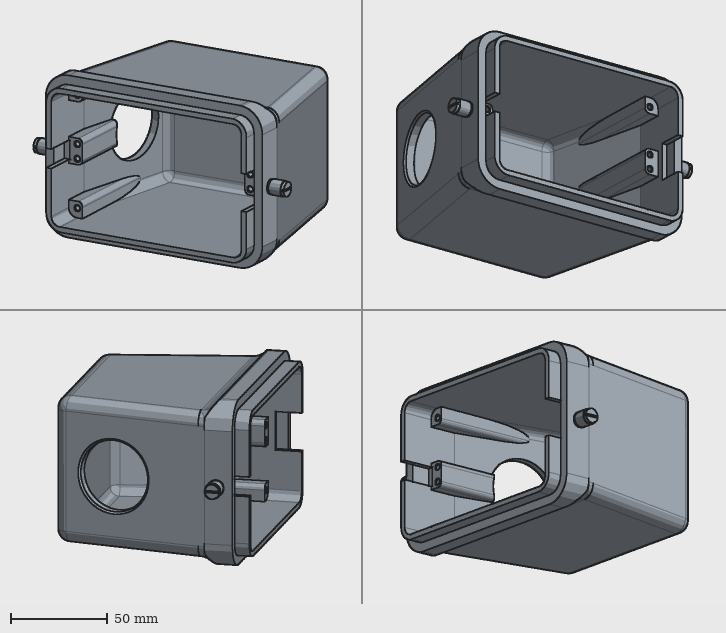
import cadquery as cq
import math


collar_width = 130.5
collar_height = 88.5
collar_corner_radius = 13.7
collar_straight_depth = 8.9
collar_crown_radius = 1.8
collar_root_radius = 9.8

body_height = 78.4
body_back_y = 98.2
body_edge_radius = 7.0
taper_start_y = 15.1
taper_angle = 11.1
taper_slope = math.tan(math.radians(taper_angle))

skirt_depth = 7.8
skirt_width = 120.5
skirt_corner_radius = 8.7

cavity_width = 114.3
cavity_height = 72.7
cavity_straight_end_y = 25.6
cavity_floor_y = 90.6
cavity_floor_width = 89.5
cavity_floor_height = 71.2
cavity_edge_radius = 5.0

post_front_y = 10.0
post_inner_x = 48.9
post_edge_radius = 2.7
corner_post_inner_z = 27.1
middle_post_width = 14.5
screw_hole_diameter = 2.7
screw_hole_chamfer = 0.5
screw_hole_depth = 9.0
screw_x = 52.0
corner_screw_z = 30.9
middle_screw_z = 4.0

left_notch_width = 10.5
left_notch_floor_y = 10.9
left_notch_inner_x = 56.4
right_notch_width = 20.7
right_notch_floor_y = 6.3
right_notch_inner_x = 56.9

entry_diameter = 38.3
entry_chamfer = 1.0
entry_y = 65.9
entry_cut_depth = 12.0

pin_length_overall = 150.8
pin_y = 8.6
pin_diameter = 8.5
pin_neck_diameter = 7.8
pin_neck_length = 0.9
pin_tip_length = 2.0
pin_slot_width = 0.9
pin_slot_depth = 0.9


def block(x_range, y_range, z_range):
    """Axis-aligned box from its two limits on each axis."""
    size = [high - low for low, high in (x_range, y_range, z_range)]
    corner = (x_range[0], y_range[0], z_range[0])
    return cq.Workplane("XY").box(*size, centered=False).translate(corner)


def rounded_prism(width, height, radius, front_y, back_y):
    """Box centred on the Y axis with its four long edges rounded."""
    prism = block((-width / 2, width / 2), (front_y, back_y), (-height / 2, height / 2))
    return prism.edges("|Y").fillet(radius)


def trapezoid(front_width, back_width, front_y, back_y, height):
    """Symmetric trapezoid in plan, extruded about Z = 0."""
    outline = [
        (-front_width / 2, front_y),
        (front_width / 2, front_y),
        (back_width / 2, back_y),
        (-back_width / 2, back_y),
    ]
    return cq.Workplane("XY").polyline(outline).close().extrude(height / 2, both=True)


def body_width(y):
    """Outer width of the tapered body."""
    return collar_width - 2 * (y - taper_start_y) * taper_slope


def make_body():
    body = trapezoid(
        collar_width, body_width(body_back_y), taper_start_y, body_back_y, body_height
    )
    return body.edges("not <Y").fillet(body_edge_radius)


def make_collar():
    """Rounded collar whose rear flares down to the body through a crown and a root arc."""
    step = (collar_height - body_height) / 2
    radius_sum = collar_crown_radius + collar_root_radius
    sweep = math.acos(1 - step / radius_sum)
    end_y = collar_straight_depth + radius_sum * math.sin(sweep)

    def flare_profile(axis_x, axis_z):
        """Flare section between an axis parallel to Y and the collar surface, plane X = axis_x."""
        foot = body_height / 2 - axis_z
        top = foot + step

        def crown(angle):
            return (
                collar_straight_depth + collar_crown_radius * math.sin(angle),
                top - collar_crown_radius * (1 - math.cos(angle)),
            )

        root_middle = (
            end_y - collar_root_radius * math.sin(sweep / 2),
            foot + collar_root_radius * (1 - math.cos(sweep / 2)),
        )
        return (
            cq.Workplane("YZ", origin=(axis_x, 0, axis_z))
            .lineTo(0, top)
            .lineTo(collar_straight_depth, top)
            .threePointArc(crown(sweep / 2), crown(sweep))
            .threePointArc(root_middle, (end_y, foot))
            .lineTo(end_y, 0)
            .close()
        )

    corner_x = body_width(end_y) / 2 - body_edge_radius
    corner_z = body_height / 2 - body_edge_radius
    flare = flare_profile(0, 0).extrude(corner_x, both=True)
    corner = flare_profile(corner_x, corner_z).revolve(360, (0, 0), (1, 0))
    flare = flare.union(corner).union(corner.mirror("YZ"))
    flare = flare.union(flare.mirror("XY"))
    half_width = collar_width / 2
    flare = flare.union(block((-half_width, half_width), (0, end_y), (-corner_z, corner_z)))
    sides = trapezoid(collar_width, collar_width, 0, taper_start_y, collar_height).union(
        trapezoid(collar_width, body_width(end_y), taper_start_y, end_y, collar_height)
    )
    collar = rounded_prism(collar_width, collar_height, collar_corner_radius, 0, end_y)
    return collar.intersect(flare).intersect(sides)


def make_cavity():
    plan = [
        (-cavity_width / 2, -skirt_depth),
        (cavity_width / 2, -skirt_depth),
        (cavity_width / 2, cavity_straight_end_y),
        (cavity_floor_width / 2, cavity_floor_y),
        (-cavity_floor_width / 2, cavity_floor_y),
        (-cavity_width / 2, cavity_straight_end_y),
    ]
    side = [
        (-skirt_depth, -cavity_height / 2),
        (cavity_floor_y, -cavity_floor_height / 2),
        (cavity_floor_y, cavity_floor_height / 2),
        (-skirt_depth, cavity_height / 2),
    ]
    cavity = cq.Workplane("XY").polyline(plan).close().extrude(cavity_height, both=True)
    draft = cq.Workplane("YZ").polyline(side).close().extrude(cavity_width, both=True)
    cavity = cavity.intersect(draft)
    kinks = cavity.edges("|Z").edges(cq.selectors.BoxSelector(
        (-cavity_width, 0, -cavity_height),
        (cavity_width, cavity_straight_end_y + 1.5, cavity_height),
    ))
    rounded = cavity.edges("not <Y").objects
    rounded = [edge for edge in rounded if not any(edge.isSame(kink) for kink in kinks.objects)]
    return cavity.newObject(rounded).fillet(cavity_edge_radius)


def chamfered_hole(radius, chamfer, depth, mouth, inward):
    """Cutter for a round hole with a chamfered mouth."""
    bore = cq.Solid.makeCylinder(radius, depth, mouth, inward)
    rim = cq.Solid.makeCone(radius + chamfer, radius, chamfer, mouth, inward)
    return cq.Workplane(bore.fuse(rim))


def make_screw_hole(x, z):
    mouth = cq.Vector(x, post_front_y, z)
    inward = cq.Vector(0, 1, 0)
    return chamfered_hole(
        screw_hole_diameter / 2, screw_hole_chamfer, screw_hole_depth, mouth, inward
    )


def make_posts():
    """Posts of the +X end, with screw holes; they run back into the tapered wall."""
    wall_x = cavity_width / 2
    y_range = (post_front_y, cavity_floor_y)
    half_middle = middle_post_width / 2
    posts = block((post_inner_x, wall_x), y_range, (-half_middle, half_middle))
    posts = posts.edges("|Y and <X").fillet(post_edge_radius)
    corner = block(
        (post_inner_x, wall_x), y_range, (corner_post_inner_z, cavity_height / 2)
    )
    corner = corner.edges("|Y and <X and <Z").fillet(post_edge_radius)
    posts = posts.union(corner).union(corner.mirror("XY"))
    screw_places = [
        (screw_x, side * z) for side in (-1, 1) for z in (corner_screw_z, middle_screw_z)
    ]
    for x, z in screw_places:
        posts = posts.cut(make_screw_hole(x, z))
    return posts


def make_pin():
    """Locking pin of the +X side, with a relieved neck and tip and a slotted end."""
    base_x = collar_width / 2
    tip_x = pin_length_overall / 2
    embed = collar_width / 2 - skirt_width / 2

    def cylinder(diameter, start_x, end_x):
        start = cq.Workplane("YZ", origin=(start_x, pin_y, 0))
        return start.circle(diameter / 2).extrude(end_x - start_x)

    pin = cylinder(pin_neck_diameter, base_x - embed, tip_x)
    pin = pin.union(cylinder(pin_diameter, base_x + pin_neck_length, tip_x - pin_tip_length))
    slot = block(
        (tip_x - pin_slot_depth, tip_x),
        (pin_y - pin_diameter, pin_y + pin_diameter),
        (-pin_slot_width / 2, pin_slot_width / 2),
    )
    return pin.cut(slot)


def make_cable_entry():
    """Cutter for the round opening with a chamfered rim, square to the tapered side."""
    angle = math.radians(taper_angle)
    inward = cq.Vector(math.cos(angle), -math.sin(angle), 0)
    centre = cq.Vector(-body_width(entry_y) / 2, entry_y, 0)
    return chamfered_hole(entry_diameter / 2, entry_chamfer, entry_cut_depth, centre, inward)


pin = make_pin()
shell = make_body().union(make_collar())
shell = shell.union(rounded_prism(skirt_width, body_height, skirt_corner_radius, -skirt_depth, 0))
posts = make_posts()
hollow = make_cavity().cut(posts).cut(posts.mirror("YZ"))

left_notch = block(
    (-skirt_width / 2, -left_notch_inner_x),
    (-skirt_depth, left_notch_floor_y),
    (-left_notch_width / 2, left_notch_width / 2),
)
right_notch = block(
    (right_notch_inner_x, skirt_width / 2),
    (-skirt_depth, right_notch_floor_y),
    (-right_notch_width / 2, right_notch_width / 2),
)

result = shell.cut(hollow).cut(left_notch).cut(right_notch).cut(make_cable_entry())
result = result.union(pin).union(pin.mirror("YZ"))